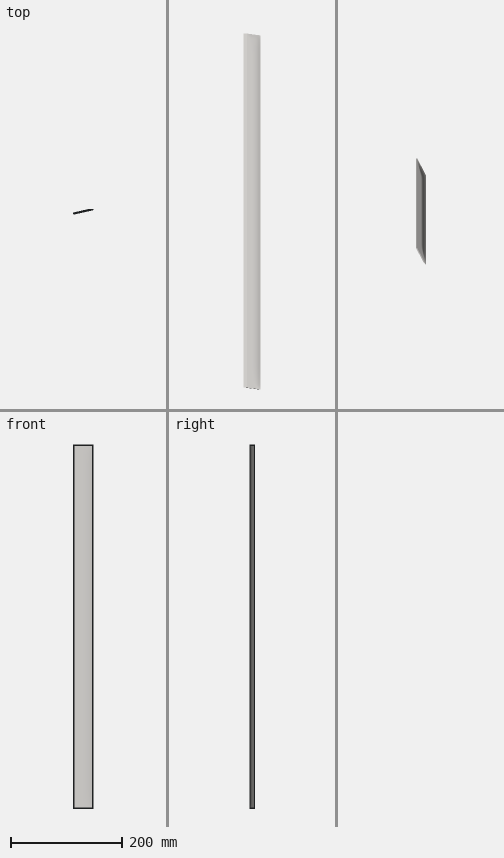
import cadquery as cq
import math

slat_width = 35.0
slat_thickness = 2.0
slat_height = 654.0
tilt_degrees = 12.83
trimmed_depth = 8.29

tilt = math.radians(tilt_degrees)

trim_start = (trimmed_depth - slat_thickness * math.cos(tilt)) / math.sin(tilt)
tip_thickness = (trimmed_depth - slat_width * math.sin(tilt)) / math.cos(tilt)


def make_slat():
    """Extrude the trimmed section upward, before tilting."""
    section = [
        (0, 0),
        (slat_width, 0),
        (slat_width, tip_thickness),
        (trim_start, slat_thickness),
        (0, slat_thickness),
    ]
    return cq.Workplane("XY").polyline(section).close().extrude(slat_height)


result = make_slat().rotate((0, 0, 0), (0, 0, 1), tilt_degrees)